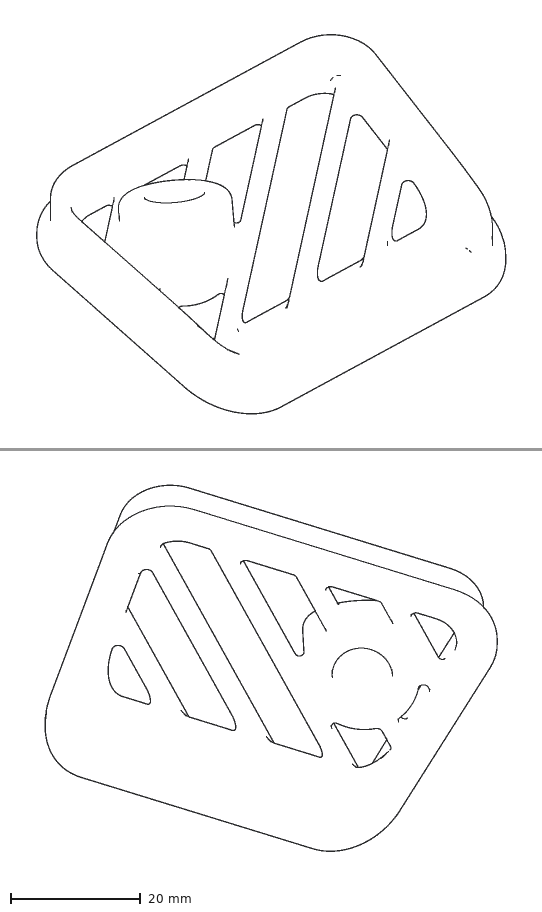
import cadquery as cq
import math

length_x = 54.2
width_y = 63.65
side_angle = 5.0
left_corner_radius = 10.2
right_corner_semi_x = 13.55
right_straight_half = 19.2

flange_edge_height = 1.9
wall_inset = 2.1
flange_edge_fillet = 0.95
flange_root_fillet = 1.15
base_fillet = 0.4
rim_height = 10.05
rim_drop_start_x = 6.25
rim_drop_radius = 95.5
rim_outer_fillet = 0.5
rim_inner_fillet = 1.9
rim_zone_z = 6.35

cavity_left_inset = 5.2
cavity_side_inset_base = 6.35
cavity_side_inset_rim = 4.95
ramp_base_x = 9.1
ramp_angle = 30.5
cavity_left_radius = 5.1
cavity_right_radius = 5.1

bar_width = 3.05
bar_height = 4.0
bar_pitch = 10.0
bar_count = 5
first_bar_offset = 1.5 * bar_pitch
bar_angle = -45.0
free_bar_count = 2
free_bar_fillet = 0.95
grille_fillet = 0.75

boss_diameter = 17.6
bore_diameter = 9.3
boss_tilt = 33.0
boss_azimuth = 153.0
boss_face_center = (-11.95, -11.6, 8.65)
boss_edge_fillet = 1.8
bore_edge_fillet = 0.3

overshoot = 1.3
long_reach = 2 * width_y
tolerance = 0.0005

left_x = -length_x / 2
right_x = length_x / 2
side_radians = math.radians(side_angle)
side_sin = math.sin(side_radians)
side_cos = math.cos(side_radians)
side_slope = math.tan(side_radians)
left_arc_x = left_x + left_corner_radius
left_arc_y = width_y / 2 - left_corner_radius
bevel_top = flange_edge_height + wall_inset


def side_y(x, inset):
    """Y of the sloping +Y side line at x, moved inward by inset."""
    y_at_arc_center = left_arc_y + (left_corner_radius - inset) / side_cos
    return y_at_arc_center - side_slope * (x - left_arc_x)


def outline(inset, z):
    """Closed frame outline at height z, moved inward by inset."""
    radius = left_corner_radius - inset
    mid_angle = math.radians(90 + (90 - side_angle) / 2)
    left_end = (left_x + inset, left_arc_y)
    arc_mid = (left_arc_x + radius * math.cos(mid_angle), left_arc_y + radius * math.sin(mid_angle))
    arc_end = (left_arc_x + radius * side_sin, left_arc_y + radius * side_cos)

    ellipse_x = right_x - right_corner_semi_x
    semi_x = right_corner_semi_x - inset
    line_distance = (side_y(ellipse_x, inset) - right_straight_half) * side_cos
    semi_y = math.sqrt(line_distance**2 - (semi_x * side_sin) ** 2) / side_cos
    end_angle = math.atan2(semi_y, semi_x * side_slope)
    ellipse_end = (
        ellipse_x + semi_x * math.cos(end_angle),
        right_straight_half + semi_y * math.sin(end_angle),
    )
    right_end = (right_x - inset, right_straight_half)

    edges = []
    for y_sign in (1, -1):
        start, middle, end, line_end = [
            cq.Vector(x, y_sign * y, z) for x, y in (left_end, arc_mid, arc_end, ellipse_end)
        ]
        edges.append(cq.Edge.makeThreePointArc(start, middle, end))
        edges.append(cq.Edge.makeLine(end, line_end))
        ellipse_angles = sorted((0, y_sign * math.degrees(end_angle)))
        edges.append(
            cq.Edge.makeEllipse(
                semi_x,
                semi_y,
                cq.Vector(ellipse_x, y_sign * right_straight_half, z),
                cq.Vector(0, 0, 1),
                cq.Vector(1, 0, 0),
                *ellipse_angles,
            )
        )
    for x, y in (left_end, right_end):
        edges.append(cq.Edge.makeLine(cq.Vector(x, y, z), cq.Vector(x, -y, z)))
    return cq.Wire.combine(edges)[0]


def loft(lower, upper):
    """Straight-sided solid between two matching wires."""
    return cq.Workplane("XY").add(cq.Solid.makeLoft([lower, upper], True))


def prism(inset, z_bottom, z_top):
    return loft(outline(inset, z_bottom), outline(inset, z_top))


class EdgesWhere(cq.Selector):
    """Selects the edges that pass a test."""

    def __init__(self, test):
        self.test = test

    def filter(self, objects):
        return [edge for edge in objects if self.test(edge)]


def lies_level_at(z):
    def test(edge):
        box = edge.BoundingBox()
        return abs(box.zmin - z) < tolerance and abs(box.zmax - z) < tolerance

    return EdgesWhere(test)


def joins(base, added):
    """Edges above the base plane where the surfaces of two bodies meet."""
    shells = [body.val().Shells()[0] for body in (added, base)]

    def test(edge):
        middle = edge.positionAt(0.5)
        probe = cq.Vertex.makeVertex(*middle.toTuple())
        return middle.z > tolerance and all(probe.distance(shell) < tolerance for shell in shells)

    return EdgesWhere(test)


def make_flanged_blank():
    flange = prism(0, 0, flange_edge_height)
    bevel = loft(outline(0, flange_edge_height), outline(wall_inset, bevel_top))
    wall = prism(wall_inset, bevel_top, rim_height)
    blank = flange.union(bevel).union(wall)
    blank = blank.edges(lies_level_at(bevel_top)).fillet(flange_root_fillet)
    return blank.edges(lies_level_at(flange_edge_height)).fillet(flange_edge_fillet)


def make_rim_drop():
    """Cutter that lets the rim fall away along an arc toward +X."""
    center_z = rim_height - rim_drop_radius

    def arc_point(x):
        run = x - rim_drop_start_x
        return (x, center_z + math.sqrt(rim_drop_radius**2 - run**2))

    end_x = right_x + overshoot
    above = rim_height + overshoot
    return (
        cq.Workplane("XZ")
        .moveTo(rim_drop_start_x, rim_height)
        .threePointArc(arc_point((rim_drop_start_x + end_x) / 2), arc_point(end_x))
        .lineTo(end_x, above)
        .lineTo(rim_drop_start_x, above)
        .close()
        .extrude(long_reach, both=True)
    )


def cavity_section(z):
    """Sharp-cornered outline of the cavity at height z."""
    draft = (cavity_side_inset_rim - cavity_side_inset_base) / rim_height
    inset = cavity_side_inset_base + draft * z
    x_left = left_x + cavity_left_inset
    x_right = ramp_base_x + z / math.tan(math.radians(ramp_angle))
    corners = [(x, side_y(x, inset)) for x in (x_left, x_right)]
    corners += [(x, -y) for x, y in reversed(corners)]
    return cq.Wire.makePolygon([cq.Vector(x, y, z) for x, y in corners], close=True)


def make_cavity():
    cavity = loft(cavity_section(-overshoot), cavity_section(rim_height + overshoot))
    for is_left, radius in ((True, cavity_left_radius), (False, cavity_right_radius)):

        def is_corner(edge):
            return edge.BoundingBox().zlen > rim_height and (edge.Center().x < 0) == is_left

        cavity = cavity.edges(EdgesWhere(is_corner)).fillet(radius)
    return cavity


def rim_edges(core, inside):
    """Rim edges inside or outside a core that is slightly smaller than the wall."""

    def test(edge):
        middle = edge.positionAt(0.5)
        is_rim = edge.BoundingBox().zmin > rim_zone_z
        is_seam = abs(middle.x - rim_drop_start_x) < tolerance
        return is_rim and not is_seam and core.isInside(cq.Vector(middle.x, middle.y, bevel_top)) == inside

    return EdgesWhere(test)


def make_frame():
    frame = make_flanged_blank().cut(make_rim_drop()).cut(make_cavity())
    core = prism(wall_inset + rim_outer_fillet, 0, rim_height).val()
    frame = frame.edges(rim_edges(core, True)).fillet(rim_inner_fillet)
    return frame.edges(rim_edges(core, False)).fillet(rim_outer_fillet)


def make_bar(offset):
    """Bar along the diagonal with a half-round top, trimmed inside the wall."""
    half = bar_width / 2
    shoulder = bar_height - half
    bar = (
        cq.Workplane("YZ")
        .moveTo(-half, 0)
        .lineTo(-half, shoulder)
        .threePointArc((0, bar_height), (half, shoulder))
        .lineTo(half, 0)
        .close()
        .extrude(long_reach, both=True)
        .translate((0, offset, 0))
        .rotate((0, 0, 0), (0, 0, 1), bar_angle)
    )
    return bar.intersect(prism(wall_inset, 0, bar_height))


def blend(base, added, radius):
    """Joins two bodies and rounds the corners between them."""
    return base.union(added).edges(joins(base, added)).fillet(radius)


def make_boss_plane():
    tilt = math.radians(boss_tilt)
    azimuth = math.radians(boss_azimuth)
    across = (-math.sin(azimuth), math.cos(azimuth), 0)
    axis = (math.sin(tilt) * math.cos(azimuth), math.sin(tilt) * math.sin(azimuth), math.cos(tilt))
    return cq.Plane(origin=boss_face_center, xDir=across, normal=axis)


def make_boss(plane):
    """Round boss with its end face on the plane, cut off level at the base."""
    boss = cq.Workplane(plane).circle(boss_diameter / 2).extrude(-length_x / 2)
    boss = boss.faces(cq.DirectionMinMaxSelector(plane.zDir)).edges().fillet(boss_edge_fillet)
    above_base = cq.Workplane("XY").rect(long_reach, long_reach).extrude(long_reach)
    return boss.intersect(above_base)


def is_bore_mouth(edge):
    at_face = (edge.Center() - cq.Vector(*boss_face_center)).Length < tolerance
    return at_face and edge.geomType() == "CIRCLE" and abs(edge.radius() - bore_diameter / 2) < tolerance


boss_plane = make_boss_plane()
frame = make_frame()
grille = make_boss(boss_plane)
for index in range(bar_count):
    bar = make_bar(first_bar_offset - index * bar_pitch)
    if index < free_bar_count:
        frame = blend(frame, bar, free_bar_fillet)
    else:
        grille = blend(grille, bar, grille_fillet)
part = blend(frame, grille, grille_fillet)

bore = cq.Workplane(boss_plane).circle(bore_diameter / 2).extrude(long_reach, both=True)
part = part.cut(bore)
part = part.edges(EdgesWhere(is_bore_mouth)).fillet(bore_edge_fillet)
result = part.faces("<Z").edges().fillet(base_fillet)